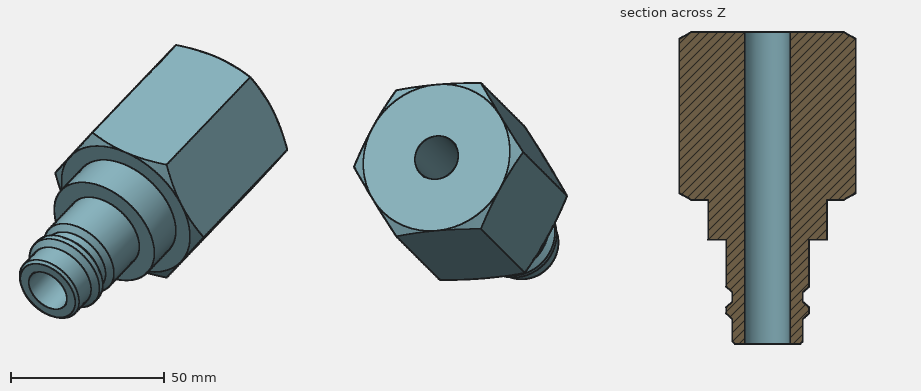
import cadquery as cq
import math

total_length = 102.0
hex_across_flats = 50.0
hex_length = 55.0
hex_chamfer_angle = 30.0
collar_diameter = 39.0
collar_length = 13.0
bore_diameter = 14.8

shank_diameter = 27.2
neck_diameter = 23.2
tip_length = 8.2
ridge_land = 2.0
groove_floor = 3.1
cone_length = 1.8
tip_chamfer = 0.9

hex_front = total_length - hex_length
collar_front = hex_front - collar_length


def revolve_about_y(profile):
    """Turn a closed XY profile one full revolution about the Y axis."""
    return profile.close().revolve(360, (0, 0, 0), (0, 1, 0))


def hexagon_body():
    """Hexagon with corners on +X and -X, its corners turned off at both ends."""
    corner_radius = hex_across_flats / math.sqrt(3)
    face_radius = hex_across_flats / 2
    chamfer_depth = (corner_radius - face_radius) * math.tan(math.radians(hex_chamfer_angle))
    prism = (
        cq.Workplane("XZ", origin=(0, total_length, 0))
        .polygon(6, 2 * corner_radius)
        .extrude(hex_length)
    )
    envelope = revolve_about_y(
        cq.Workplane("XY")
        .moveTo(0, hex_front)
        .lineTo(face_radius, hex_front)
        .lineTo(corner_radius, hex_front + chamfer_depth)
        .lineTo(corner_radius, total_length - chamfer_depth)
        .lineTo(face_radius, total_length)
        .lineTo(0, total_length)
    )
    return prism.intersect(envelope)


def turned_nose():
    """Collar, shank, locking groove, ridge and tip as one turned shape."""
    collar_radius = collar_diameter / 2
    shank_radius = shank_diameter / 2
    neck_radius = neck_diameter / 2
    ridge_front = tip_length + cone_length
    ridge_back = ridge_front + ridge_land
    groove_front = ridge_back + cone_length
    groove_back = groove_front + groove_floor
    return revolve_about_y(
        cq.Workplane("XY")
        .moveTo(0, 0)
        .lineTo(neck_radius - tip_chamfer, 0)
        .lineTo(neck_radius, tip_chamfer)
        .lineTo(neck_radius, tip_length)
        .lineTo(shank_radius, ridge_front)
        .lineTo(shank_radius, ridge_back)
        .lineTo(neck_radius, groove_front)
        .lineTo(neck_radius, groove_back)
        .lineTo(shank_radius, groove_back + cone_length)
        .lineTo(shank_radius, collar_front)
        .lineTo(collar_radius, collar_front)
        .lineTo(collar_radius, hex_front)
        .lineTo(0, hex_front)
    )


def through_bore():
    """Round passage along the whole axis."""
    return (
        cq.Workplane("XZ", origin=(0, total_length, 0))
        .circle(bore_diameter / 2)
        .extrude(total_length)
    )


result = hexagon_body().union(turned_nose()).cut(through_bore())